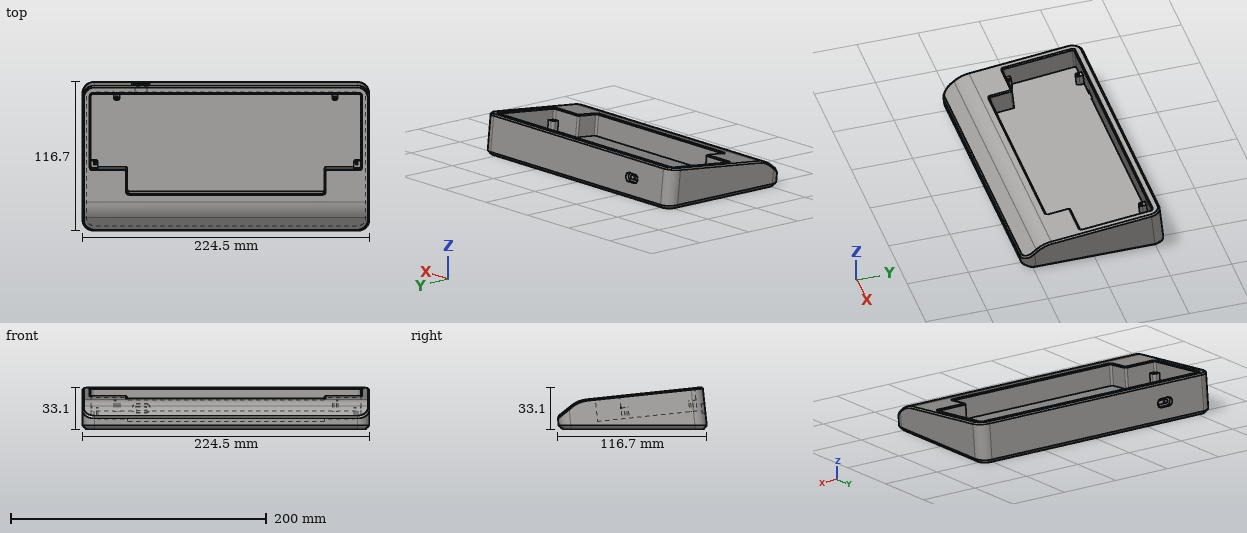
import cadquery as cq
import math

width = 224.5
top_length = 115.5
rear_height = 33.2
tilt = 6.0
corner_radius = 9.5
top_bevel = 1.3
base_bevel = 3.1

bend_start = 91.2
bend_radius = 23.4
bend_angle = 33.0

rim_width = 5.6
pocket_depth = 18.0
wide_bay_end = 65.5
narrow_bay_end = 84.9
narrow_bay_inset = 34.1
rim_bevel = 1.0
pocket_corner_radius = 1.5

post_diameter = 4.5
post_height = 8.5
screw_hole_diameter = 1.8
rear_post_inset = 27.0
rear_post_distance = 10.0
front_post_inset = 9.9
front_post_distance = 62.2

socket_width = 9.2
socket_height = 3.1
socket_inset = 45.8
plug_recess_width = 14.0
plug_recess_height = 7.2
plug_recess_depth = 3.0

half_width = width / 2
pocket_rear = rim_width + rim_bevel
tilt_sine = math.sin(math.radians(tilt))
tilt_cosine = math.cos(math.radians(tilt))
tall = 2 * rear_height


def top_plane(depth=0.0):
    """Plane parallel to the top, its origin at the middle of the rear edge; local -Y runs to the front."""
    origin = (0, depth * tilt_sine, rear_height - depth * tilt_cosine)
    return cq.Plane(origin=origin, xDir=(1, 0, 0), normal=(0, -tilt_sine, tilt_cosine))


def make_body():
    footprint = (
        cq.Workplane(top_plane())
        .center(0, -top_length / 2)
        .rect(width, top_length)
        .extrude(-tall)
        .edges(cq.selectors.ParallelDirSelector(top_plane().zDir))
        .fillet(corner_radius)
    )

    bend = math.radians(bend_angle)
    bend_middle = (-bend_start - bend_radius * math.sin(bend / 2), -bend_radius * (1 - math.cos(bend / 2)))
    bend_end = (-bend_start - bend_radius * math.sin(bend), -bend_radius * (1 - math.cos(bend)))
    front = -top_length - corner_radius
    front_drop = bend_end[1] - (bend_end[0] - front) * math.tan(bend)
    side_plane = cq.Plane(
        origin=(-half_width, 0, rear_height), xDir=(0, tilt_cosine, tilt_sine), normal=(1, 0, 0)
    )
    side = (
        cq.Workplane(side_plane)
        .moveTo(corner_radius, 0)
        .lineTo(-bend_start, 0)
        .threePointArc(bend_middle, bend_end)
        .lineTo(front, front_drop)
        .lineTo(front, -tall)
        .lineTo(corner_radius, -tall)
        .close()
        .extrude(width)
    )
    block = footprint.intersect(side).edges(">Z").chamfer(top_bevel)
    above_base = cq.Workplane().box(2 * width, 4 * top_length, tall, centered=(True, True, False))
    return block.intersect(above_base).faces("<Z").edges().chamfer(base_bevel)


def pocket_outline():
    wide_x = half_width - rim_width - rim_bevel
    narrow_x = half_width - narrow_bay_inset - rim_bevel
    return (
        cq.Workplane(top_plane())
        .moveTo(-wide_x, -pocket_rear)
        .lineTo(wide_x, -pocket_rear)
        .lineTo(wide_x, -wide_bay_end)
        .lineTo(narrow_x, -wide_bay_end)
        .lineTo(narrow_x, -narrow_bay_end)
        .lineTo(-narrow_x, -narrow_bay_end)
        .lineTo(-narrow_x, -wide_bay_end)
        .lineTo(-wide_x, -wide_bay_end)
        .close()
    )


def cut_pocket(body):
    pocket = (
        pocket_outline()
        .extrude(-pocket_depth)
        .edges(cq.selectors.ParallelDirSelector(top_plane().zDir))
        .fillet(pocket_corner_radius)
    )
    rim_edge = cq.selectors.NearestToPointSelector(top_plane().toWorldCoords((0, -pocket_rear, 0)).toTuple())
    return body.cut(pocket).edges(rim_edge).chamfer(rim_bevel)


def floor_block(x_range, distance_range):
    """Block of post height on the pocket floor; distances run forward from the rear edge."""
    x_start, x_end = x_range
    near, far = distance_range
    return (
        cq.Workplane(top_plane(pocket_depth))
        .center((x_start + x_end) / 2, -(near + far) / 2)
        .rect(abs(x_end - x_start), far - near)
        .extrude(post_height)
    )


def floor_cylinder(x, distance, diameter):
    return (
        cq.Workplane(top_plane(pocket_depth))
        .center(x, -distance)
        .circle(diameter / 2)
        .extrude(post_height)
    )


def add_posts(body):
    post_radius = post_diameter / 2
    for side in (-1, 1):
        rear_x = side * (half_width - rear_post_inset)
        rear_web = floor_block(
            (rear_x - post_radius, rear_x + post_radius), (rim_width, rear_post_distance)
        )
        front_x = side * (half_width - front_post_inset)
        wall_x = side * (half_width - rim_width)
        side_web = floor_block((front_x, wall_x), (front_post_distance - post_radius, wide_bay_end))
        end_web = floor_block(
            (front_x - side * post_radius, wall_x), (front_post_distance, wide_bay_end)
        )
        body = body.union(rear_web).union(side_web).union(end_web)
        for x, distance in ((rear_x, rear_post_distance), (front_x, front_post_distance)):
            body = body.union(floor_cylinder(x, distance, post_diameter))
            body = body.cut(floor_cylinder(x, distance, screw_hole_diameter))
    return body


def rear_slot(slot_width, slot_height, depth):
    """Round-ended slot cut forward into the rear wall, centred on the cable opening."""
    rear_plane = cq.Plane(
        origin=top_plane(pocket_depth).origin, xDir=(1, 0, 0), normal=(0, -tilt_cosine, -tilt_sine)
    )
    return (
        cq.Workplane(rear_plane)
        .center(-half_width + socket_inset, socket_height / 2)
        .slot2D(slot_width, slot_height)
        .extrude(depth)
    )


def cut_cable_opening(body):
    socket = rear_slot(socket_width, socket_height, pocket_rear)
    plug_recess = rear_slot(plug_recess_width, plug_recess_height, plug_recess_depth)
    return body.cut(socket).cut(plug_recess)


result = cut_cable_opening(add_posts(cut_pocket(make_body())))